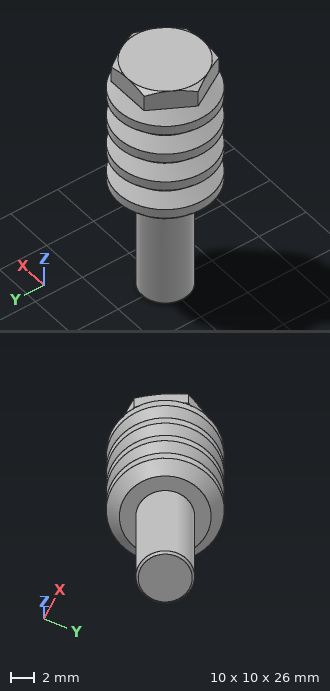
import cadquery as cq
import math

total_length = 26.0
shank_diameter = 5.0
tip_chamfer = 0.2
head_height = 2.0
head_sides = 6
across_flats = 7.98
head_chamfer_angle = 30.0

ring_count = 4
ring_height = 3.2
ring_diameter = 10.0
ring_bevel = 1.12

shank_radius = shank_diameter / 2
ring_radius = ring_diameter / 2
head_bottom = total_length - head_height
stack_bottom = head_bottom - ring_count * ring_height
across_corners = across_flats / math.cos(math.pi / head_sides)


def make_head():
    """Hexagonal head with corners along X and a conical chamfer on its top."""
    hexagon = (
        cq.Workplane("XY")
        .workplane(offset=head_bottom)
        .polygon(head_sides, across_corners)
        .extrude(head_height)
    )
    flat_radius = across_flats / 2
    corner_radius = across_corners / 2
    corner_drop = (corner_radius - flat_radius) * math.tan(math.radians(head_chamfer_angle))
    envelope = (
        cq.Workplane("XZ")
        .moveTo(0, head_bottom)
        .lineTo(corner_radius, head_bottom)
        .lineTo(corner_radius, total_length - corner_drop)
        .lineTo(flat_radius, total_length)
        .lineTo(0, total_length)
        .close()
        .revolve(360, (0, 0, 0), (0, 1, 0))
    )
    return hexagon.intersect(envelope)


def make_bolt():
    """Hexagonal head with a plain shank, chamfered at the tip."""
    shank = cq.Workplane("XY").circle(shank_radius).extrude(head_bottom)
    shank = shank.faces("<Z").chamfer(tip_chamfer)
    return shank.union(make_head())


def make_ring(bottom):
    """Ring with bevelled rims and a bore that fits the shank."""
    top = bottom + ring_height
    rim_radius = ring_radius - ring_bevel
    return (
        cq.Workplane("XZ")
        .moveTo(shank_radius, bottom)
        .lineTo(rim_radius, bottom)
        .lineTo(ring_radius, bottom + ring_bevel)
        .lineTo(ring_radius, top - ring_bevel)
        .lineTo(rim_radius, top)
        .lineTo(shank_radius, top)
        .close()
        .revolve(360, (0, 0, 0), (0, 1, 0))
    )


bolt = make_bolt()
rings = [make_ring(stack_bottom + i * ring_height) for i in range(ring_count)]

result = cq.Compound.makeCompound([bolt.val(), *[ring.val() for ring in rings]])